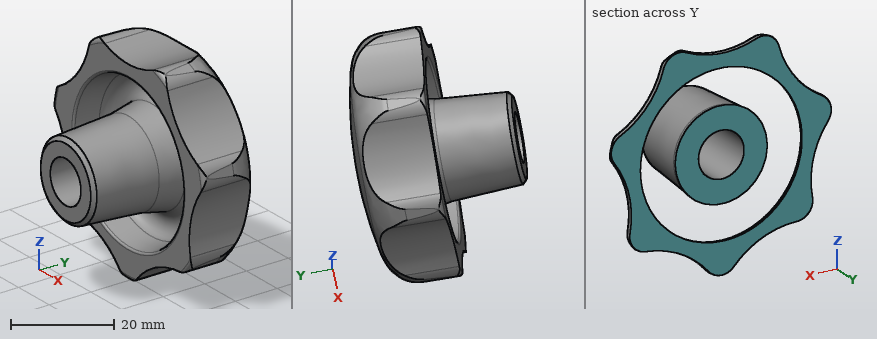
import math

import cadquery as cq


LOBE_COUNT = 7
KNOB_RADIUS = 25.0
LOBE_TIP_RADIUS = 3.75
SCALLOP_FLOOR_RADIUS = 21.0
LOBE_PITCH = 360.0 / LOBE_COUNT
FIRST_LOBE_ANGLE = -90.0

CROWN_HEIGHT = 17.0
DOME_RADIUS = 80.0
SHOULDER_RADIUS = 7.8
SIDE_DRAFT = 1.6
RIM_RADIUS = 25.03
RIM_FILLET = 1.0

CAVITY_DEPTH = 8.0
CAVITY_DRAFT = 10.0
CAVITY_FLOOR_RADIUS = 3.0
CAVITY_MOUTH_RADIUS = 18.07
CAVITY_MOUTH_FILLET = 0.5

HUB_LENGTH = 15.0
HUB_BASE_RADIUS = 10.05
HUB_END_RADIUS = 9.1
HUB_CHAMFER_AXIAL = 0.8
HUB_CHAMFER_RADIAL = 0.9
BORE_RADIUS = 5.0
BORE_DEPTH = 20.0
DRILL_POINT_ANGLE = 118.0


def polar(radius, degrees):
    """Point at the given radius and angle in a plane."""
    angle = math.radians(degrees)
    return (radius * math.cos(angle), radius * math.sin(angle))


def revolve_about_y(profile):
    """Turn a closed XY half profile a full revolution about the Y axis."""
    return profile.close().revolve(360, (0, 0, 0), (0, 1, 0))


def crown_blank():
    """Round crown before the scallops are cut."""
    dome_center_y = CROWN_HEIGHT - DOME_RADIUS
    slope = math.tan(math.radians(SIDE_DRAFT))
    square_term = 1 + slope**2
    half_linear_term = RIM_RADIUS * slope + dome_center_y
    constant_term = RIM_RADIUS**2 + dome_center_y**2 - DOME_RADIUS**2
    root = math.sqrt(half_linear_term**2 - square_term * constant_term)
    corner_y = (half_linear_term + root) / square_term
    corner_radius = RIM_RADIUS - corner_y * slope
    mid_radius = corner_radius / 2
    mid_y = dome_center_y + math.sqrt(DOME_RADIUS**2 - mid_radius**2)
    profile = (
        cq.Workplane("XY")
        .lineTo(RIM_RADIUS, 0)
        .lineTo(corner_radius, corner_y)
        .threePointArc((mid_radius, mid_y), (0, CROWN_HEIGHT))
    )
    crown = revolve_about_y(profile)
    crown = crown.faces("%CONE").edges(">Y").fillet(SHOULDER_RADIUS)
    return crown.faces("<Y").edges().fillet(RIM_FILLET)


def lobed_prism():
    """Prism whose round lobe tips run tangent into concave scallops."""
    tip_center_radius = KNOB_RADIUS - LOBE_TIP_RADIUS
    tip_across, tip_along = polar(tip_center_radius, 90 - LOBE_PITCH / 2)
    gap = SCALLOP_FLOOR_RADIUS - tip_along
    scallop_radius = (tip_across**2 + gap**2 - LOBE_TIP_RADIUS**2) / (2 * (LOBE_TIP_RADIUS - gap))
    scallop_center_radius = SCALLOP_FLOOR_RADIUS + scallop_radius

    def tangent_point(lobe_angle, side):
        tip = polar(tip_center_radius, lobe_angle)
        scallop = polar(scallop_center_radius, lobe_angle + side * LOBE_PITCH / 2)
        share = LOBE_TIP_RADIUS / (LOBE_TIP_RADIUS + scallop_radius)
        return tuple(t + (s - t) * share for t, s in zip(tip, scallop))

    outline = cq.Workplane("XZ").moveTo(*tangent_point(FIRST_LOBE_ANGLE, -1))
    for index in range(LOBE_COUNT):
        angle = FIRST_LOBE_ANGLE + index * LOBE_PITCH
        outline = outline.threePointArc(polar(KNOB_RADIUS, angle), tangent_point(angle, 1))
        scallop_floor = polar(SCALLOP_FLOOR_RADIUS, angle + LOBE_PITCH / 2)
        outline = outline.threePointArc(scallop_floor, tangent_point(angle + LOBE_PITCH, -1))
    return outline.close().extrude(CROWN_HEIGHT, both=True)


def cavity():
    """Annular cavity with sloping walls, round floor and rounded mouth."""
    draft = math.radians(CAVITY_DRAFT)

    floor_center_y = CAVITY_DEPTH - CAVITY_FLOOR_RADIUS
    wall_top_y = floor_center_y + CAVITY_FLOOR_RADIUS * math.sin(draft)
    outer_top = CAVITY_MOUTH_RADIUS - wall_top_y * math.tan(draft)
    floor_center = outer_top - CAVITY_FLOOR_RADIUS * math.cos(draft)
    inner_top = floor_center - CAVITY_FLOOR_RADIUS * math.cos(draft)

    setback = CAVITY_MOUTH_FILLET * math.tan((math.pi / 2 - draft) / 2)
    fillet_center = (CAVITY_MOUTH_RADIUS + setback, CAVITY_MOUTH_FILLET)
    rim_contact_angle = 1.5 * math.pi
    wall_contact_angle = math.pi + draft
    fillet_mid_angle = (rim_contact_angle + wall_contact_angle) / 2
    fillet_mid = (
        fillet_center[0] + CAVITY_MOUTH_FILLET * math.cos(fillet_mid_angle),
        fillet_center[1] + CAVITY_MOUTH_FILLET * math.sin(fillet_mid_angle),
    )
    wall_start = (
        CAVITY_MOUTH_RADIUS - setback * math.sin(draft),
        setback * math.cos(draft),
    )
    profile = (
        cq.Workplane("XY")
        .moveTo(HUB_BASE_RADIUS, 0)
        .lineTo(fillet_center[0], 0)
        .threePointArc(fillet_mid, wall_start)
        .lineTo(outer_top, wall_top_y)
        .threePointArc((floor_center, CAVITY_DEPTH), (inner_top, wall_top_y))
    )
    return revolve_about_y(profile)


def hub():
    """Tapered hub standing out of the cavity, chamfered at its free end."""
    profile = (
        cq.Workplane("XY")
        .lineTo(HUB_BASE_RADIUS, 0)
        .lineTo(HUB_END_RADIUS, HUB_CHAMFER_AXIAL - HUB_LENGTH)
        .lineTo(HUB_END_RADIUS - HUB_CHAMFER_RADIAL, -HUB_LENGTH)
        .lineTo(0, -HUB_LENGTH)
    )
    return revolve_about_y(profile)


def bore():
    """Blind bore from the hub end, closed by a drill point."""
    bore_end_y = BORE_DEPTH - HUB_LENGTH
    point_height = BORE_RADIUS / math.tan(math.radians(DRILL_POINT_ANGLE / 2))
    profile = (
        cq.Workplane("XY")
        .moveTo(0, -HUB_LENGTH)
        .lineTo(BORE_RADIUS, -HUB_LENGTH)
        .lineTo(BORE_RADIUS, bore_end_y)
        .lineTo(0, bore_end_y + point_height)
    )
    return revolve_about_y(profile)


crown = crown_blank().intersect(lobed_prism())
result = crown.cut(cavity()).union(hub()).cut(bore())